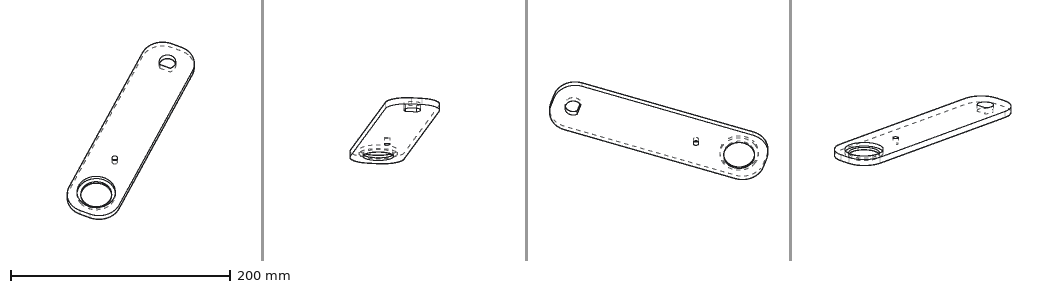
import cadquery as cq

length = 205.0
width = 50.0
thickness = 6.0
corner_radius = 20.0

seat_y = -77.5
seat_diameter = 35.0
bore_diameter = 28.0
seat_depth = 3.5

pin_y = -35.9
pin_diameter = 5.0

shaft_y = 82.5
shaft_diameter = 15.2
flat_offset = 5.5


def plate():
    """Flat bar with rounded corners, resting on Z = 0."""
    bar = cq.Workplane("XY").box(width, length, thickness, centered=(True, True, False))
    return bar.edges("|Z").fillet(corner_radius)


def round_cutter(y, diameter, bottom=0.0):
    """Cylinder on the centreline from the given height to the top face."""
    plane = cq.Workplane("XY", origin=(0, y, bottom))
    return plane.circle(diameter / 2).extrude(thickness - bottom)


def d_cutter():
    """Shaft cylinder with the segment beyond the flat removed."""
    keep = cq.Workplane("XY", origin=(0, shaft_y - flat_offset, 0)).box(
        shaft_diameter, shaft_diameter, thickness, centered=(True, False, False)
    )
    return round_cutter(shaft_y, shaft_diameter).intersect(keep)


result = (
    plate()
    .cut(round_cutter(seat_y, bore_diameter))
    .cut(round_cutter(seat_y, seat_diameter, thickness - seat_depth))
    .cut(round_cutter(pin_y, pin_diameter))
    .cut(d_cutter())
)